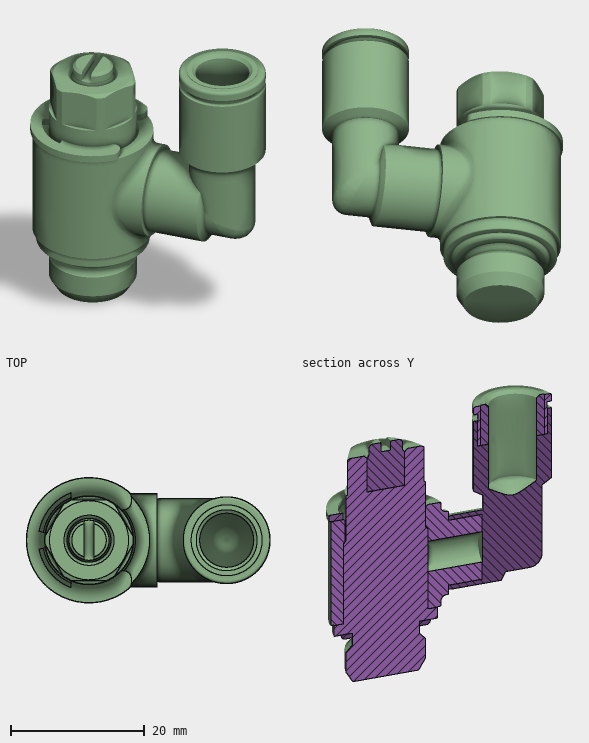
import cadquery as cq
import math


SELECTION_MARGIN = 0.4

OVERALL_LENGTH = 36.5
TOTAL_HEIGHT = 42.0
THREAD_CHAMFER_TOP = 1.75
THREAD_TOP = 5.1
NECK_BOTTOM = 6.1
FLANGE_BOTTOM = 8.02
HOUSING_BOTTOM = 9.9
BORE_STEP_Z = 23.2
HOUSING_TOP = 27.15
RING_TOP = 28.22
HEX_FLAT_BOTTOM = 31.0
BOLT_TOP = 37.0
NEEDLE_TOP = 38.72

BOLT_DIAMETER = 13.2
THREAD_TIP_DIAMETER = 11.0
NECK_DIAMETER = 11.25
FLANGE_DIAMETER = 17.05
FLANGE_EDGE_FILLET = 0.15
SHANK_DIAMETER = 14.0
HEX_ACROSS_FLATS = 12.0
HEX_TOP_DIAMETER = 11.85
HEX_CHAMFER_HEIGHT = 0.38
COUNTERSINK_DIAMETER = 7.5

GASKET_HEIGHT = 0.75
GASKET_DIAMETER = 14.8
GASKET_TIP_DIAMETER = 13.7
GASKET_LIP_RADIUS = 0.75

NEEDLE_DIAMETER = 6.0
NEEDLE_SHANK_DIAMETER = 6.55
NEEDLE_CHAMFER = 0.4
NEEDLE_SLOT_WIDTH = 1.5
NEEDLE_SLOT_DEPTH = 1.5

HOUSING_DIAMETER = 18.15
HOUSING_BORE = 13.3
BORE_MOUTH_CHAMFER = 0.3
BOSS_DIAMETER = 14.0
BOSS_END_X = 10.2
BOSS_FILLET = 0.9
SPIGOT_DIAMETER = 11.1
SPIGOT_LENGTH = 5.45
PORT_DIAMETER = 5.5
PORT_Z = (HOUSING_BOTTOM + HOUSING_TOP) / 2

RING_DIAMETER = 18.77
RING_END_X = 6.35
RING_GAP_WIDTH = 9.07
RING_END_FILLET = 1.25
RING_SLOT_DIAMETER = 15.2
RING_SLOT_START_ANGLE = 10.0
RING_SLOT_END_X = -2.7

SOCKET_DIAMETER = 13.0
SOCKET_X = OVERALL_LENGTH - RING_DIAMETER / 2 - SOCKET_DIAMETER / 2
SOCKET_TOP = 39.52
SOCKET_BOTTOM = 27.95
SOCKET_CONE_BOTTOM = 27.0
SOCKET_CONE_BOTTOM_DIAMETER = 10.1
LEG_DIAMETER = 10.0
ELBOW_CORNER_FILLET = 2.1
CORNER_FILLET_WIDTH = 9.83
COLLAR_DIAMETER = 12.5
COLLAR_LEAD_DIAMETER = 12.35
COLLAR_LEAD_LENGTH = 0.6
COLLAR_END_X = 18.77
COLLAR_CONE_END_X = 19.5

BUSH_NECK_DIAMETER = 11.55
BUSH_FLANGE_BOTTOM = 40.55
BUSH_BOTTOM = 35.32
BUSH_EDGE_FILLET = 0.4
BUSH_TOP = 41.87
SLEEVE_DIAMETER = 10.63
SLEEVE_MOUTH_DIAMETER = 9.1
TUBE_DIAMETER = 8.1
DRILL_POINT_ANGLE = 118.0


def turned(profile, x=0.0):
    """Revolve (radius, height) points around a vertical axis at the given X."""
    half_section = cq.Workplane("XZ").polyline(profile).close()
    return half_section.revolve(360, (0, 0, 0), (0, 1, 0)).translate((x, 0, 0))


def turned_along_x(profile):
    """Revolve (x, radius) points around the horizontal port axis."""
    half_section = cq.Workplane("XZ").polyline(profile).close()
    return half_section.revolve(360, (0, 0, 0), (1, 0, 0)).translate((0, 0, PORT_Z))


def rod(diameter, bottom, top, x=0.0):
    """A vertical cylinder between two heights."""
    return cq.Workplane("XY", origin=(x, 0, bottom)).circle(diameter / 2).extrude(top - bottom)


def rod_along_x(diameter, start, end):
    """A cylinder on the port axis between two X positions."""
    section = cq.Workplane("YZ").workplane(offset=start).center(0, PORT_Z).circle(diameter / 2)
    return section.extrude(end - start)


def make_needle():
    radius = NEEDLE_DIAMETER / 2
    shank_radius = NEEDLE_SHANK_DIAMETER / 2
    countersink_depth = (COUNTERSINK_DIAMETER - NEEDLE_SHANK_DIAMETER) / 2
    needle = turned([
        (0, HEX_FLAT_BOTTOM),
        (shank_radius, HEX_FLAT_BOTTOM),
        (shank_radius, BOLT_TOP - countersink_depth),
        (radius, BOLT_TOP),
        (radius, NEEDLE_TOP - NEEDLE_CHAMFER),
        (radius - NEEDLE_CHAMFER, NEEDLE_TOP),
        (0, NEEDLE_TOP),
    ])
    slot = cq.Workplane("XY").workplane(offset=NEEDLE_TOP - NEEDLE_SLOT_DEPTH)
    slot = slot.rect(NEEDLE_SLOT_WIDTH, 2 * NEEDLE_SHANK_DIAMETER).extrude(NEEDLE_SLOT_DEPTH)
    return needle.cut(slot)


def make_bolt():
    radius = BOLT_DIAMETER / 2
    shank_radius = SHANK_DIAMETER / 2
    bore_radius = HOUSING_BORE / 2
    step_top = BORE_STEP_Z + shank_radius - bore_radius
    body = turned([
        (0, 0),
        (THREAD_TIP_DIAMETER / 2, 0),
        (radius, THREAD_CHAMFER_TOP),
        (radius, THREAD_TOP),
        (NECK_DIAMETER / 2, NECK_BOTTOM),
        (NECK_DIAMETER / 2, FLANGE_BOTTOM),
        (shank_radius, FLANGE_BOTTOM),
        (shank_radius, BORE_STEP_Z),
        (bore_radius, step_top),
        (radius, step_top),
        (radius, BOLT_TOP - HEX_CHAMFER_HEIGHT),
        (HEX_TOP_DIAMETER / 2, BOLT_TOP),
        (0, BOLT_TOP),
    ])
    flange = rod(FLANGE_DIAMETER, FLANGE_BOTTOM, HOUSING_BOTTOM)
    flange = flange.faces("<Z").edges().fillet(FLANGE_EDGE_FILLET)
    body = body.union(flange)

    hexagon_corner_diameter = HEX_ACROSS_FLATS / math.cos(math.radians(30))
    flat_zone = cq.Workplane("XY").workplane(offset=HEX_FLAT_BOTTOM)
    flat_height = BOLT_TOP - HEX_FLAT_BOTTOM
    around_hexagon = flat_zone.circle(BOLT_DIAMETER).polygon(6, hexagon_corner_diameter).extrude(flat_height)
    body = body.cut(around_hexagon)

    hole_radius = NEEDLE_SHANK_DIAMETER / 2
    countersink_radius = COUNTERSINK_DIAMETER / 2
    needle_hole = turned([
        (0, HEX_FLAT_BOTTOM),
        (hole_radius, HEX_FLAT_BOTTOM),
        (hole_radius, BOLT_TOP - (countersink_radius - hole_radius)),
        (countersink_radius, BOLT_TOP),
        (0, BOLT_TOP),
    ])
    return body.cut(needle_hole)


def make_gasket():
    neck_radius = NECK_DIAMETER / 2
    bottom = FLANGE_BOTTOM - GASKET_HEIGHT
    lip = cq.Workplane("XZ").moveTo(neck_radius, FLANGE_BOTTOM).lineTo(GASKET_DIAMETER / 2, FLANGE_BOTTOM)
    lip = lip.radiusArc((GASKET_TIP_DIAMETER / 2, bottom), GASKET_LIP_RADIUS)
    return lip.lineTo(neck_radius, bottom).close().revolve(360, (0, 0, 0), (0, 1, 0))


def make_housing():
    barrel = rod(HOUSING_DIAMETER, HOUSING_BOTTOM, HOUSING_TOP)
    housing = barrel.union(rod_along_x(BOSS_DIAMETER, 0, BOSS_END_X))
    boss_root = cq.selectors.BoxSelector(
        (SELECTION_MARGIN, -BOSS_DIAMETER, HOUSING_BOTTOM + SELECTION_MARGIN),
        (BOSS_END_X - SELECTION_MARGIN, BOSS_DIAMETER, HOUSING_TOP - SELECTION_MARGIN))
    housing = housing.edges(boss_root).fillet(BOSS_FILLET)
    housing = housing.union(rod_along_x(SPIGOT_DIAMETER, 0, BOSS_END_X + SPIGOT_LENGTH))

    shank_radius = SHANK_DIAMETER / 2
    bore_radius = HOUSING_BORE / 2
    main_bore = turned([
        (0, HOUSING_BOTTOM),
        (shank_radius, HOUSING_BOTTOM),
        (shank_radius, BORE_STEP_Z),
        (bore_radius, BORE_STEP_Z + shank_radius - bore_radius),
        (bore_radius, HOUSING_TOP - BORE_MOUTH_CHAMFER),
        (bore_radius + BORE_MOUTH_CHAMFER, HOUSING_TOP),
        (0, HOUSING_TOP),
    ])
    port = rod_along_x(PORT_DIAMETER, 0, BOSS_END_X + SPIGOT_LENGTH)
    return housing.cut(main_bore).cut(port)


def make_retaining_ring():
    thickness = RING_TOP - HOUSING_TOP
    ring = rod(RING_DIAMETER, HOUSING_TOP, RING_TOP)

    level = cq.Workplane("XY", origin=(0, 0, HOUSING_TOP))
    beyond_ends = level.box(RING_DIAMETER, RING_DIAMETER, thickness, centered=(False, True, False))
    ring = ring.cut(beyond_ends.translate((RING_END_X, 0, 0)))
    ring = ring.cut(level.box(RING_DIAMETER, RING_GAP_WIDTH, thickness, centered=(False, True, False)))
    end_edges = cq.selectors.BoxSelector((RING_END_X - SELECTION_MARGIN, -RING_DIAMETER, HOUSING_TOP),
                                         (RING_END_X + SELECTION_MARGIN, RING_DIAMETER, RING_TOP))
    ring = ring.edges(end_edges).edges("|Z").fillet(RING_END_FILLET)

    ring = ring.cut(rod(HOUSING_BORE, HOUSING_TOP, RING_TOP))
    relief_radius = RING_SLOT_DIAMETER / 2
    start = math.radians(180 - RING_SLOT_START_ANGLE)
    end = math.acos(RING_SLOT_END_X / relief_radius)
    middle = (start + end) / 2
    start_point = (relief_radius * math.cos(start), relief_radius * math.sin(start))
    middle_point = (relief_radius * math.cos(middle), relief_radius * math.sin(middle))
    end_point = (RING_SLOT_END_X, relief_radius * math.sin(end))
    relief = level.moveTo(0, 0).lineTo(*start_point).threePointArc(middle_point, end_point)
    relief = relief.lineTo(RING_SLOT_END_X, 0).close().extrude(thickness)
    return ring.cut(relief).cut(relief.mirror("XZ"))


def make_elbow():
    leg_radius = LEG_DIAMETER / 2
    collar_radius = COLLAR_DIAMETER / 2

    upright = rod(LEG_DIAMETER, PORT_Z, SOCKET_CONE_BOTTOM, SOCKET_X)
    level = rod_along_x(LEG_DIAMETER, COLLAR_END_X, SOCKET_X)
    corner = rod(LEG_DIAMETER, PORT_Z - leg_radius, PORT_Z, SOCKET_X)
    corner = corner.intersect(rod_along_x(LEG_DIAMETER, SOCKET_X, SOCKET_X + leg_radius))
    legs = upright.union(level).union(corner)

    filleted_zone = cq.Workplane("XY").box(LEG_DIAMETER + SOCKET_X, CORNER_FILLET_WIDTH, TOTAL_HEIGHT)
    filleted_zone = filleted_zone.translate((SOCKET_X, 0, TOTAL_HEIGHT / 2))
    filleted_middle = legs.intersect(filleted_zone)
    mitre_reach = leg_radius / 2
    mitre = cq.selectors.BoxSelector((SOCKET_X + mitre_reach, -leg_radius, PORT_Z - 2 * leg_radius),
                                     (SOCKET_X + 2 * leg_radius, leg_radius, PORT_Z - mitre_reach))
    filleted_middle = filleted_middle.edges(mitre).fillet(ELBOW_CORNER_FILLET)
    legs = legs.cut(filleted_zone).union(filleted_middle)

    collar = turned_along_x([
        (BOSS_END_X, 0),
        (BOSS_END_X, COLLAR_LEAD_DIAMETER / 2),
        (BOSS_END_X + COLLAR_LEAD_LENGTH, collar_radius),
        (COLLAR_END_X, collar_radius),
        (COLLAR_CONE_END_X, leg_radius),
        (COLLAR_CONE_END_X, 0),
    ])
    socket_radius = SOCKET_DIAMETER / 2
    socket = turned([
        (0, SOCKET_CONE_BOTTOM),
        (SOCKET_CONE_BOTTOM_DIAMETER / 2, SOCKET_CONE_BOTTOM),
        (socket_radius, SOCKET_BOTTOM),
        (socket_radius, SOCKET_TOP),
        (0, SOCKET_TOP),
    ], SOCKET_X)
    elbow = legs.union(collar).union(socket)

    spigot_recess = rod_along_x(SPIGOT_DIAMETER, BOSS_END_X, BOSS_END_X + SPIGOT_LENGTH)
    bush_recess = rod(BUSH_NECK_DIAMETER, BUSH_BOTTOM, SOCKET_TOP, SOCKET_X)
    tube_radius = TUBE_DIAMETER / 2
    drill_point_depth = tube_radius / math.tan(math.radians(DRILL_POINT_ANGLE / 2))
    tube_hole = turned([
        (0, SOCKET_BOTTOM - drill_point_depth),
        (tube_radius, SOCKET_BOTTOM),
        (tube_radius, BUSH_BOTTOM),
        (0, BUSH_BOTTOM),
    ], SOCKET_X)
    return elbow.cut(spigot_recess).cut(bush_recess).cut(tube_hole)


def make_release_bush():
    neck = rod(BUSH_NECK_DIAMETER, BUSH_BOTTOM, BUSH_FLANGE_BOTTOM, SOCKET_X)
    flange = rod(SOCKET_DIAMETER, BUSH_FLANGE_BOTTOM, BUSH_TOP, SOCKET_X)
    flange = flange.faces(">Z").edges().fillet(BUSH_EDGE_FILLET)
    return neck.union(flange).cut(rod(SLEEVE_DIAMETER, BUSH_BOTTOM, BUSH_TOP, SOCKET_X))


def make_tube_sleeve():
    outer_radius = SLEEVE_DIAMETER / 2
    mouth_radius = SLEEVE_MOUTH_DIAMETER / 2
    tube_radius = TUBE_DIAMETER / 2
    return turned([
        (tube_radius, BUSH_BOTTOM),
        (outer_radius, BUSH_BOTTOM),
        (outer_radius, TOTAL_HEIGHT),
        (mouth_radius, TOTAL_HEIGHT),
        (tube_radius, TOTAL_HEIGHT - (mouth_radius - tube_radius)),
    ], SOCKET_X)


bolt = make_bolt()
needle = make_needle()
gasket = make_gasket()
housing = make_housing()
retaining_ring = make_retaining_ring()
elbow = make_elbow()
release_bush = make_release_bush()
tube_sleeve = make_tube_sleeve()

result = cq.Compound.makeCompound([
    bolt.val(),
    needle.val(),
    gasket.val(),
    housing.val(),
    retaining_ring.val(),
    elbow.val(),
    release_bush.val(),
    tube_sleeve.val(),
])